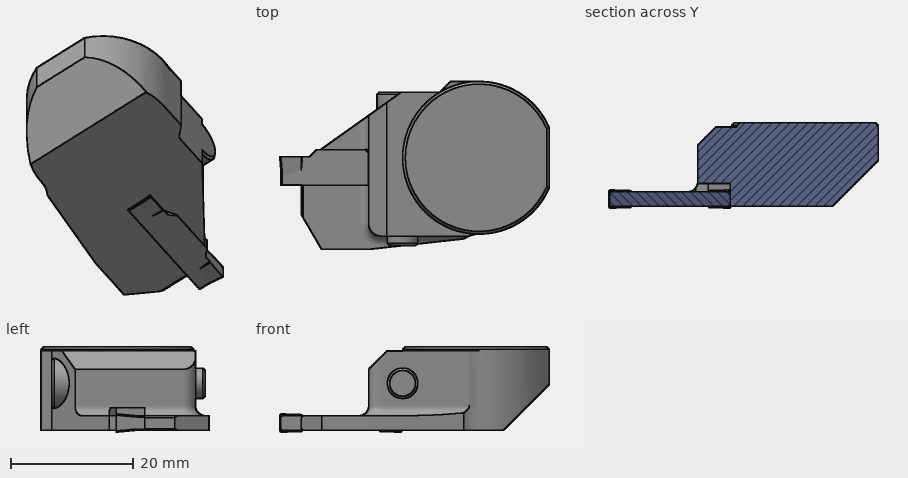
import cadquery as cq
import math


cap_radius = 12.5
cap_top = 13.7
cap_chamfer = 0.45
body_height = 13.0
rear_flat_x = 11.5
rear_slope_height = 7.5

block_left = -18.05
block_front = -12.8
block_corner_radius = 2.0
block_top_chamfer = 3.0
block_back = 10.75
back_step_x = -4.65

plate_thickness = 2.4
plate_fillet = 1.6
plate_left = -29.05
plate_front = -15.0
plate_edge_chamfer = 0.3
left_edge_front = -9.35
corner_front_x = -25.75
front_taper_start_x = -18.0
blend_radius = 4.4
blend_start_x = -2.5
side_slope = math.tan(math.radians(35.4))
side_end_x = -12.67

pin_x = -12.5
pin_z = 7.7
pin_diameter = 5.0
pin_end_y = -14.4
pin_head_diameter = 8.4
pin_head_length = 4.0
pin_chamfer = 0.4

insert_middle_x = -22.6
insert_tip_x = -32.6
insert_front = -4.48
insert_back = 1.33
tip_back = 0.17
relief = insert_back - tip_back
relief_start_x = -26.6
end_kink_y = -2.0
end_setback = 0.17
end_chamfer = 0.22
pad_rise = 0.307
pad_inner_end = (-28.87, tip_back)
pad_corner = (-29.07, -1.95)
pad_edge_slope = 0.355
pad_inner_slope = 1.0

pocket_ceiling = 3.7
pocket_relief_gap = 0.25
pocket_relief_slope = math.tan(math.radians(30))


def box(x0, x1, y0, y1, z0, z1):
    return cq.Workplane("XY").box(x1 - x0, y1 - y0, z1 - z0, centered=False).translate((x0, y0, z0))


def mirrored_x(x):
    return 2 * insert_middle_x - x


def holder_outline():
    """Plan outline of the holder, extruded to the full body height."""
    blend_start_y = -cap_radius - blend_radius + math.sqrt(blend_radius**2 - blend_start_x**2)
    blend_middle_x = blend_start_x / 2
    blend_middle_y = -cap_radius - blend_radius + math.sqrt(blend_radius**2 - blend_middle_x**2)
    flat_half_width = math.sqrt(cap_radius**2 - rear_flat_x**2)
    arc_middle = cap_radius * math.sqrt(0.5)
    step = cap_radius - block_back
    side_start_y = block_back - side_slope * (side_end_x - plate_left)
    return (
        cq.Workplane("XY")
        .moveTo(plate_left, left_edge_front)
        .lineTo(corner_front_x, plate_front)
        .lineTo(front_taper_start_x, plate_front)
        .lineTo(blend_start_x, blend_start_y)
        .threePointArc((blend_middle_x, blend_middle_y), (0, -cap_radius))
        .threePointArc((arc_middle, -arc_middle), (rear_flat_x, -flat_half_width))
        .lineTo(rear_flat_x, flat_half_width)
        .threePointArc((arc_middle, arc_middle), (0, cap_radius))
        .lineTo(back_step_x, cap_radius)
        .lineTo(back_step_x - step, block_back)
        .lineTo(side_end_x, block_back)
        .lineTo(plate_left, side_start_y)
        .close()
        .extrude(body_height)
    )


def body():
    """Plate and block with the cove between them, trimmed to the plan outline."""
    reach = 3 * cap_radius
    block = box(block_left, reach, block_front, reach, 0, body_height)
    block = block.edges("|Z and <X and <Y").fillet(block_corner_radius)
    plate = box(-reach, reach, -reach, reach, 0, plate_thickness)
    overlap = 0.01
    cove_edges = cq.selectors.BoxSelector(
        (block_left - overlap, block_front - overlap, plate_thickness - overlap),
        (reach + overlap, reach + overlap, plate_thickness + overlap),
        boundingbox=False,
    )
    stock = plate.union(block)
    stock = stock.edges(cove_edges).fillet(plate_fillet)
    top_bevel = (
        cq.Workplane("XZ")
        .polyline([
            (block_left, body_height - block_top_chamfer),
            (block_left + block_top_chamfer, body_height),
            (block_left, body_height),
        ])
        .close()
        .extrude(reach, both=True)
    )
    stock = stock.cut(top_bevel)
    trimmed = stock.intersect(holder_outline())
    return trimmed.faces("<X").edges("|Y").chamfer(plate_edge_chamfer)


def cap():
    depth = cap_top - body_height
    disc = cq.Workplane("XY").workplane(offset=body_height).circle(cap_radius).extrude(depth)
    disc = disc.intersect(box(-cap_radius, rear_flat_x, -cap_radius, cap_radius, 0, cap_top))
    return disc.faces(">Z").chamfer(cap_chamfer)


def rear_slope():
    """Wedge that undercuts the +X side at 45 degrees."""
    return (
        cq.Workplane("XZ")
        .polyline([
            (rear_flat_x - rear_slope_height, 0),
            (rear_flat_x, rear_slope_height),
            (rear_flat_x, 0),
        ])
        .close()
        .extrude(cap_radius, both=True)
    )


def clamp_pin():
    def rod(start_y, end_y, diameter, end_face):
        plane = cq.Workplane("XZ", origin=(pin_x, start_y, pin_z))
        bar = plane.circle(diameter / 2).extrude(start_y - end_y)
        return bar.faces(end_face).chamfer(pin_chamfer)

    head_start = block_back - pin_head_length
    head = rod(block_back, head_start, pin_head_diameter, ">Y")
    stud = rod(block_front + pin_head_length, pin_end_y, pin_diameter, "<Y")
    return head.union(stud)


def insert_pocket():
    """Slot through the plate and into the block, closed by the far end of the insert."""
    end_x = mirrored_x(insert_tip_x)
    relief_x = mirrored_x(relief_start_x) + pocket_relief_gap
    return (
        cq.Workplane("XY")
        .polyline([
            (insert_tip_x, insert_front),
            (end_x - end_setback, insert_front),
            (end_x - end_setback, end_kink_y),
            (end_x, tip_back),
            (relief_x + relief / pocket_relief_slope, tip_back),
            (relief_x, insert_back),
            (insert_tip_x, insert_back),
        ])
        .close()
        .extrude(pocket_ceiling)
    )


def make_holder():
    return body().union(cap()).cut(rear_slope()).union(clamp_pin()).cut(insert_pocket())


def space_above(start, end, slope):
    """Space above a plane that rises to the left of a line on the blade's upper face."""
    run_x = end[0] - start[0]
    run_y = end[1] - start[1]
    length = math.hypot(run_x, run_y)
    plane = cq.Plane(
        origin=(*start, plate_thickness),
        xDir=(run_x, run_y, 0),
        normal=(run_y / length * slope, -run_x / length * slope, 1),
    )
    size = insert_middle_x - insert_tip_x
    return cq.Workplane(plane).rect(size, size).extrude(size)


def cutting_pad():
    """Upper half of the cutting corner, its top sloping down to the blade face."""
    end_x = insert_tip_x + end_setback
    pad_front = (end_x, pad_corner[1] - pad_edge_slope * (pad_corner[0] - end_x))
    pad = (
        cq.Workplane("XY")
        .workplane(offset=plate_thickness / 2)
        .polyline([
            (insert_tip_x, tip_back),
            (end_x, end_kink_y),
            pad_front,
            pad_corner,
            pad_inner_end,
        ])
        .close()
        .extrude(plate_thickness)
    )
    tip_offset_x = insert_tip_x - pad_front[0]
    tip_offset_y = tip_back - pad_front[1]
    tip_distance = (tip_offset_y - pad_edge_slope * tip_offset_x) / math.hypot(1, pad_edge_slope)
    pad = pad.cut(space_above(pad_front, pad_corner, pad_rise / tip_distance))
    return pad.cut(space_above(pad_corner, pad_inner_end, pad_inner_slope))


def make_insert():
    half = (
        cq.Workplane("XY")
        .polyline([
            (insert_middle_x, insert_front),
            (insert_tip_x + end_setback, insert_front),
            (insert_tip_x + end_setback, end_kink_y),
            (insert_tip_x, tip_back),
            (relief_start_x - relief, tip_back),
            (relief_start_x, insert_back),
            (insert_middle_x, insert_back),
        ])
        .close()
        .extrude(plate_thickness)
    )
    upper_pad = cutting_pad()
    lower_pad = upper_pad.mirror("XY", (0, 0, plate_thickness / 2))
    half = half.union(upper_pad).union(lower_pad)
    end_edges = cq.selectors.BoxSelector(
        (insert_tip_x - end_setback, insert_front, -2 * pad_rise),
        (insert_tip_x + 2 * end_setback, tip_back - end_setback, plate_thickness + 2 * pad_rise),
    )
    half = half.edges(end_edges).edges("not |Z").chamfer(end_chamfer)
    return half.union(half.mirror("YZ", (insert_middle_x, 0, 0)))


holder = make_holder()
insert = make_insert()

result = cq.Compound.makeCompound([holder.solids().val(), insert.solids().val()])